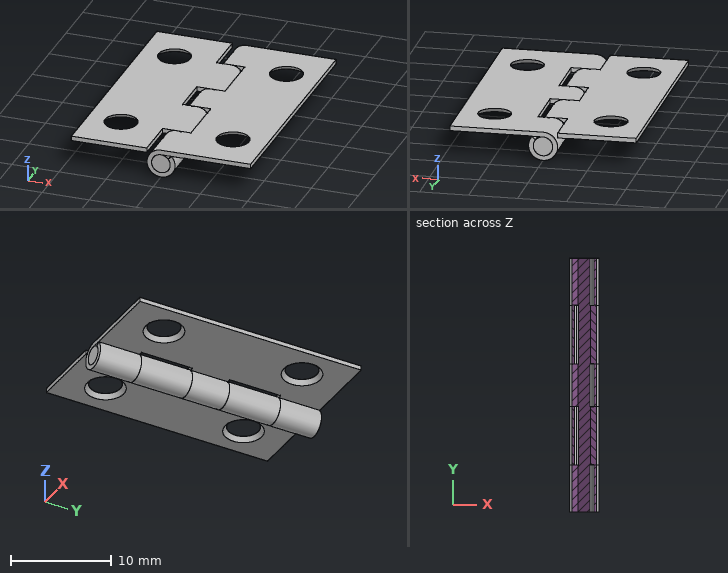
import cadquery as cq
import math

hinge_length = 25.4
hinge_width = 19.05
sheet = 0.5
knuckle_radius = 1.5
pin_radius = knuckle_radius - sheet

middle_knuckle = 4.27
left_knuckle = 5.85
curl_end_angle = 40.0

hole_diameter = 3.35
hole_flare = 0.4
hole_x = 5.95
hole_y = 7.92

half_length = hinge_length / 2
half_width = hinge_width / 2
inner_edge = middle_knuckle / 2
outer_edge = inner_edge + left_knuckle

right_spans = [
    (-half_length, -outer_edge),
    (-inner_edge, inner_edge),
    (outer_edge, half_length),
]
left_spans = [(-outer_edge, -inner_edge), (inner_edge, outer_edge)]


def on_circle(radius, degrees):
    angle = math.radians(degrees)
    return (radius * math.cos(angle), radius * math.sin(angle))


def make_knuckle(y_start, y_end):
    """Flat strip running tangentially into a curl around the pin."""
    curl_middle_angle = (90 + 360 + curl_end_angle) / 2
    return (
        cq.Workplane("XZ", origin=(0, y_end, 0))
        .moveTo(knuckle_radius, knuckle_radius)
        .lineTo(0, knuckle_radius)
        .threePointArc(
            on_circle(knuckle_radius, curl_middle_angle),
            on_circle(knuckle_radius, curl_end_angle),
        )
        .lineTo(*on_circle(pin_radius, curl_end_angle))
        .threePointArc(on_circle(pin_radius, curl_middle_angle), (0, pin_radius))
        .lineTo(knuckle_radius, pin_radius)
        .close()
        .extrude(y_end - y_start)
    )


def make_flared_hole(x, y):
    """Screw hole that widens towards the underside of the leaf."""
    return (
        cq.Workplane("XY", origin=(x, y, pin_radius))
        .circle(hole_diameter / 2 + hole_flare)
        .workplane(offset=sheet)
        .circle(hole_diameter / 2)
        .loft()
    )


def make_leaf(knuckle_spans):
    """Leaf on the +X side of the pin, with its knuckles and two screw holes."""
    leaf = cq.Workplane("XY", origin=(knuckle_radius, -half_length, pin_radius)).box(
        half_width - knuckle_radius, hinge_length, sheet, centered=False
    )
    for y_start, y_end in knuckle_spans:
        leaf = leaf.union(make_knuckle(y_start, y_end))
    for y in (-hole_y, hole_y):
        leaf = leaf.cut(make_flared_hole(hole_x, y))
    return leaf


def make_pin():
    return cq.Workplane("XZ").circle(pin_radius).extrude(half_length, both=True)


right_leaf = make_leaf(right_spans)
left_leaf = make_leaf(left_spans).mirror("YZ")
pin = make_pin()

result = cq.Compound.makeCompound([right_leaf.val(), left_leaf.val(), pin.val()])